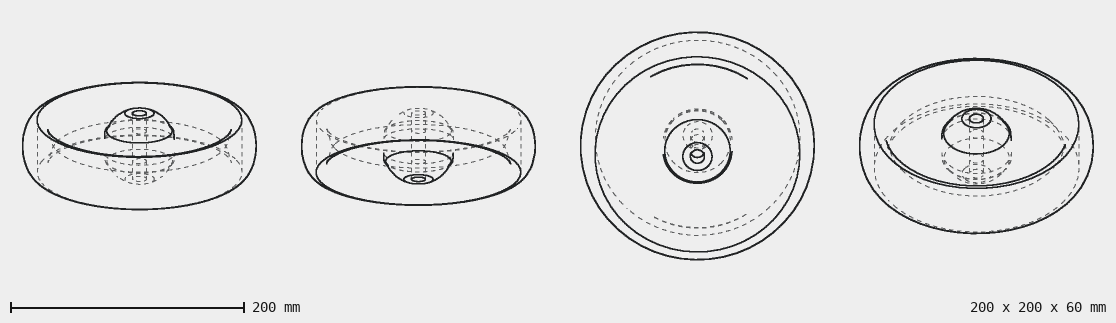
import cadquery as cq
import math

wheel_diameter = 200.0
wheel_width = 47.5
tread_thickness = 12.5
tread_outer_radius = wheel_diameter / 2
tread_inner_radius = tread_outer_radius - tread_thickness
half_width = wheel_width / 2

disc_thickness = 11.0
half_disc = disc_thickness / 2
rim_round = 9.5
rim_draft = math.radians(15)
root_fillet = 1.0
hub_foot_radius = 29.8
hub_top_radius = 29.4
hub_width = 27.4
half_hub = hub_width / 2
hub_edge_round = 1.4
bore_diameter = 12.0
bore_radius = bore_diameter / 2

overall_width = 60.0
cap_base_radius = hub_top_radius - hub_edge_round
cap_top_radius = 12.5
dome_radius = 28.0


def revolve_about_z(profile):
    """Turn a closed section drawn in radius and height a full turn about the Z axis."""
    return profile.close().revolve(360, (0, 0, 0), (0, 1, 0))


def round_circle(body, circle_radius, height, round_radius):
    """Round the circular edge of the given radius that lies at the given height."""
    circles = [
        edge
        for edge in body.edges("%CIRCLE").vals()
        if math.isclose(edge.radius(), circle_radius) and math.isclose(edge.Center().z, height)
    ]
    return body.newObject(circles).fillet(round_radius)


def make_tread():
    section = (
        cq.Workplane("XZ")
        .moveTo(tread_inner_radius, -half_width)
        .ellipseArc(tread_thickness, half_width, -90, 90, startAtCurrent=True)
    )
    return revolve_about_z(section)


def make_wheel_centre():
    round_centre_height = half_width - rim_round
    round_sweep = math.pi / 2 - rim_draft
    wall_top_radius = tread_inner_radius - rim_round * math.cos(rim_draft)
    wall_top_height = round_centre_height + rim_round * math.sin(rim_draft)
    wall_foot_radius = wall_top_radius - (wall_top_height - half_disc) * math.tan(rim_draft)
    round_mid_radius = tread_inner_radius - rim_round * math.sin(round_sweep / 2)
    round_mid_height = round_centre_height + rim_round * math.cos(round_sweep / 2)

    half_section = (
        cq.Workplane("XZ")
        .moveTo(bore_radius, 0)
        .lineTo(bore_radius, half_hub)
        .lineTo(hub_top_radius, half_hub)
        .lineTo(hub_foot_radius, half_disc)
        .lineTo(wall_foot_radius, half_disc)
        .lineTo(wall_top_radius, wall_top_height)
        .threePointArc((round_mid_radius, round_mid_height), (tread_inner_radius, half_width))
        .lineTo(tread_inner_radius, 0)
    )
    upper_half = revolve_about_z(half_section)

    upper_half = round_circle(upper_half, hub_foot_radius, half_disc, root_fillet)
    upper_half = round_circle(upper_half, wall_foot_radius, half_disc, root_fillet)

    upper_half = round_circle(upper_half, hub_top_radius, half_hub, hub_edge_round)

    return upper_half.union(upper_half.mirror("XY"))


def make_cap(side):
    """Bored dome on the upper (side = 1) or lower (side = -1) face of the hub."""
    base_height = side * half_hub
    top_height = side * overall_width / 2

    chord_rise = overall_width / 2 - half_hub
    chord_run = cap_base_radius - cap_top_radius
    chord = math.hypot(chord_run, chord_rise)
    bulge = dome_radius - math.sqrt(dome_radius**2 - (chord / 2) ** 2)
    dome_mid_radius = (cap_base_radius + cap_top_radius) / 2 + bulge * chord_rise / chord
    dome_mid_height = side * ((half_hub + overall_width / 2) / 2 + bulge * chord_run / chord)

    section = (
        cq.Workplane("XZ")
        .moveTo(bore_radius, base_height)
        .lineTo(cap_base_radius, base_height)
        .threePointArc((dome_mid_radius, dome_mid_height), (cap_top_radius, top_height))
        .lineTo(bore_radius, top_height)
    )
    return revolve_about_z(section)


tread = make_tread()
wheel_centre = make_wheel_centre()
caps = [make_cap(side) for side in (1, -1)]

result = cq.Compound.makeCompound([tread.val(), wheel_centre.val(), *[cap.val() for cap in caps]])